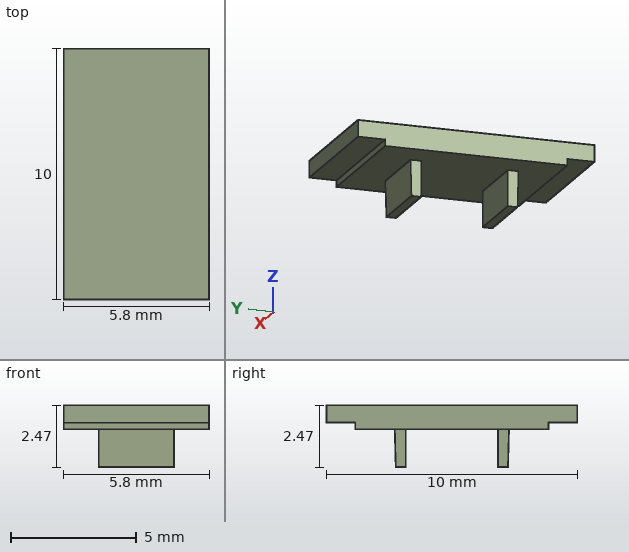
import cadquery as cq

plate_width = 5.8
plate_length = 10.0
plate_thickness = 0.7

pad_length = 7.7
pad_thickness = 0.27

leg_width = 3.0
leg_height = 1.5
leg_gap = 3.66
leg_root_thickness = 0.45
leg_tip_thickness = 0.41

pad_top = -plate_thickness
pad_bottom = pad_top - pad_thickness
leg_bottom = pad_bottom - leg_height


def make_plate():
    return cq.Workplane("XY").box(
        plate_width, plate_length, plate_thickness, centered=(True, True, False)
    ).translate((0, 0, pad_top))


def make_pad():
    return cq.Workplane("XY").box(
        plate_width, pad_length, pad_thickness, centered=(True, True, False)
    ).translate((0, 0, pad_bottom))


def make_leg(side):
    """Leg on the +Y (side = 1) or -Y (side = -1) half; only its outer face tapers."""
    inner = leg_gap / 2
    profile = [
        (side * inner, pad_bottom),
        (side * (inner + leg_root_thickness), pad_bottom),
        (side * (inner + leg_tip_thickness), leg_bottom),
        (side * inner, leg_bottom),
    ]
    return cq.Workplane("YZ").polyline(profile).close().extrude(leg_width / 2, both=True)


result = make_plate().union(make_pad())
for side in (-1, 1):
    result = result.union(make_leg(side))